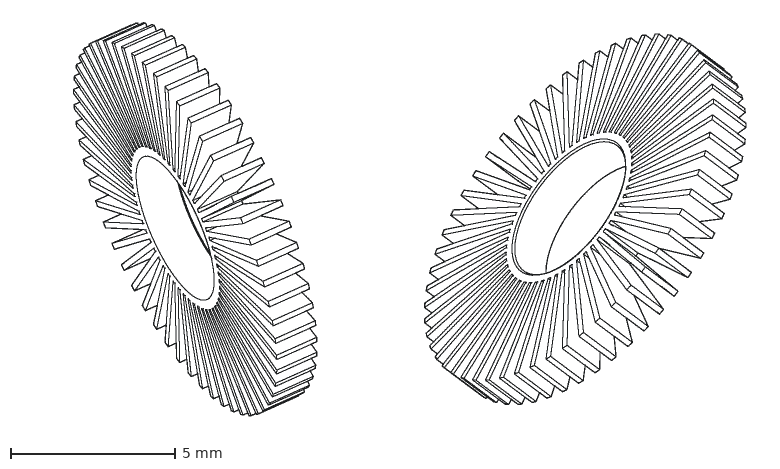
import cadquery as cq

thickness = 1.41
bore_diameter = 4.75
ring_outer_diameter = 5.39
chamfer_mouth_diameter = 4.88

outer_diameter = 12.38
fin_count = 55
fin_width = 0.2
first_fin_angle = 180.0

outer_radius = outer_diameter / 2
bore_radius = bore_diameter / 2
ring_outer_radius = ring_outer_diameter / 2
bore_chamfer = (chamfer_mouth_diameter - bore_diameter) / 2


def back_face_plane():
    """Workplane on the +Y face, facing -Y so that extrusions fill the thickness."""
    return cq.Workplane("XZ", origin=(0, thickness / 2, 0))


def make_ring():
    """Plain ring between the bore and the roots of the fins."""
    return back_face_plane().circle(ring_outer_radius).circle(bore_radius).extrude(thickness)


def make_fins():
    """Flat, square-ended fins, evenly spaced around the ring."""
    root_radius = (bore_radius + ring_outer_radius) / 2
    fin_length = outer_radius - root_radius
    fin_center_radius = (root_radius + outer_radius) / 2
    fin_centers = back_face_plane().polarArray(fin_center_radius, first_fin_angle, 360, fin_count)
    return fin_centers.rect(fin_length, fin_width).extrude(thickness)


def chamfer_back_of_bore(body):
    """Break the +Y edge of the bore, the smallest circle on that face, at 45 degrees."""
    smallest_circle = cq.selectors.RadiusNthSelector(0)
    return body.faces(">Y").edges("%CIRCLE").edges(smallest_circle).chamfer(bore_chamfer)


result = chamfer_back_of_bore(make_ring().union(make_fins()))